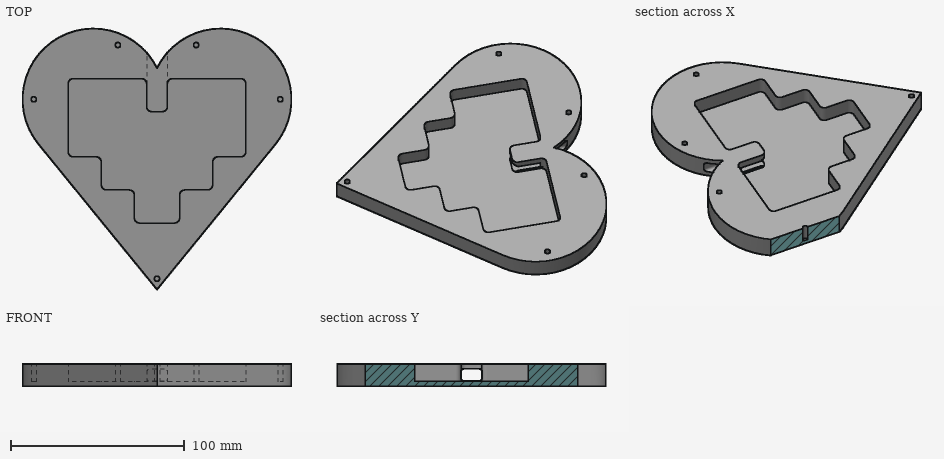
import cadquery as cq
import math

width = 154.63
height = 150.1
thickness = 13.0
lobe_radius = 40.75
lobe_x = width / 2 - lobe_radius
lobe_y = height - lobe_radius

pocket_depth = 10.0
pocket_floor = thickness - pocket_depth
pocket_top_y = 121.3
step = 19.0
side_length = 45.0
bottom_half_width = 13.0
tongue_width = 12.0
corner_radius = 3.0

lip_thickness = 3.0
channel_sill = 0.2
channel_height = pocket_depth - lip_thickness - channel_sill
channel_corner_radius = 1.5

hole_diameter = 3.0
hole_depth = pocket_depth
hole_edge_distance = 6.5
upper_hole_angle = 114.3
tip_hole_y = 6.3


def heart_plate():
    """Two round lobes with straight tangent sides running down to the tip."""
    center_distance = math.hypot(lobe_x, lobe_y)
    side_angle = math.atan2(lobe_x, lobe_y) + math.asin(lobe_radius / center_distance)
    side_run = math.sqrt(center_distance**2 - lobe_radius**2)
    tangent_x = side_run * math.sin(side_angle)
    tangent_y = side_run * math.cos(side_angle)
    cleft_y = lobe_y + math.sqrt(lobe_radius**2 - lobe_x**2)
    return (
        cq.Workplane("XY")
        .moveTo(0, 0)
        .lineTo(tangent_x, tangent_y)
        .threePointArc((lobe_x, height), (0, cleft_y))
        .threePointArc((-lobe_x, height), (-tangent_x, tangent_y))
        .close()
        .extrude(thickness)
    )


def pocket():
    """Stepped pocket with every vertical corner rounded."""
    middle_half_width = bottom_half_width + step
    top_half_width = middle_half_width + step
    side_bottom_y = pocket_top_y - side_length
    right_half = [
        (tongue_width / 2, pocket_top_y - step),
        (tongue_width / 2, pocket_top_y),
        (top_half_width, pocket_top_y),
        (top_half_width, side_bottom_y),
        (middle_half_width, side_bottom_y),
        (middle_half_width, side_bottom_y - step),
        (bottom_half_width, side_bottom_y - step),
        (bottom_half_width, side_bottom_y - 2 * step),
    ]
    left_half = [(-x, y) for x, y in reversed(right_half)]
    return (
        cq.Workplane("XY", origin=(0, 0, pocket_floor))
        .polyline(right_half + left_half)
        .close()
        .extrude(pocket_depth)
        .edges("|Z")
        .fillet(corner_radius)
    )


def channel():
    """Channel as wide as the tongue, just above the pocket floor, with rounded edges."""
    start_y = pocket_top_y - step
    return (
        cq.Workplane("XY", origin=(0, start_y, pocket_floor + channel_sill))
        .box(tongue_width, height - start_y, channel_height, centered=(True, False, False))
        .edges("|Y")
        .fillet(channel_corner_radius)
    )


def screw_holes():
    """Blind holes from the top face: one at the outer side of each lobe, one near its top, one at the tip."""
    ring_radius = lobe_radius - hole_edge_distance
    centers = [(0, tip_hole_y)]
    for angle in (0, upper_hole_angle):
        x = lobe_x + ring_radius * math.cos(math.radians(angle))
        y = lobe_y + ring_radius * math.sin(math.radians(angle))
        centers += [(x, y), (-x, y)]
    top_plane = cq.Workplane("XY", origin=(0, 0, thickness))
    return top_plane.pushPoints(centers).circle(hole_diameter / 2).extrude(-hole_depth)


result = heart_plate().cut(pocket()).cut(channel()).cut(screw_holes())